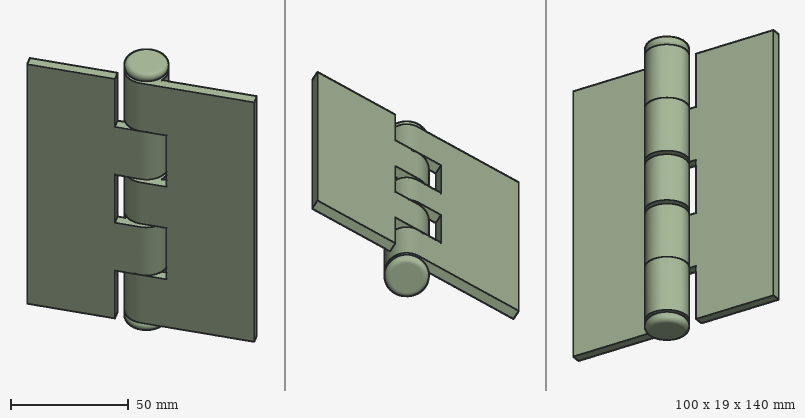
import cadquery as cq

overall_height = 140.0
overall_width = 100.0
leaf_thickness = 4.5
clearance = 1.8

barrel_radius = 9.5
pin_radius = barrel_radius - leaf_thickness
head_height = 5.0
head_edge_radius = head_height / 2
head_flat_radius = barrel_radius - head_edge_radius

knuckle_count = 5
leaf_height = overall_height - 2 * head_height
leaf_bottom = -leaf_height / 2
knuckle_pitch = leaf_height / knuckle_count
notch_reach = barrel_radius + clearance


def knuckle_span(station):
    """Bottom and top of a knuckle; the middle one is shortened for clearance."""
    bottom = leaf_bottom + station * knuckle_pitch
    top = bottom + knuckle_pitch
    if station == knuckle_count // 2:
        return bottom + clearance, top - clearance
    return bottom, top


def leaf_block(inner_x, outer_x, bottom, top):
    """Flat plate whose front face is tangent to the barrel."""
    return cq.Workplane("XY").box(
        outer_x - inner_x, leaf_thickness, top - bottom, centered=False
    ).translate((inner_x, -barrel_radius, bottom))


def cylinder(radius, bottom, top):
    return cq.Workplane("XY").workplane(offset=bottom).circle(radius).extrude(top - bottom)


def right_leaf(stations):
    """Plate on the +X side with knuckles at the given stations."""
    leaf = leaf_block(notch_reach, overall_width / 2, leaf_bottom, -leaf_bottom)
    for station in stations:
        bottom, top = knuckle_span(station)
        strap = leaf_block(0, notch_reach, bottom, top)
        leaf = leaf.union(strap).union(cylinder(barrel_radius, bottom, top))
    pin_bore = cylinder(pin_radius, leaf_bottom, -leaf_bottom)
    return leaf.cut(pin_bore)


def left_leaf(stations):
    """Plate on the -X side, a mirrored leaf with the other knuckle stations."""
    return right_leaf(stations).mirror("YZ")


def headed_pin():
    """Straight pin with a round-edged head at each end, revolved about Z."""
    shank_top = leaf_height / 2
    head_top = overall_height / 2
    head_middle = shank_top + head_edge_radius
    return (
        cq.Workplane("XZ")
        .moveTo(0, -head_top)
        .lineTo(head_flat_radius, -head_top)
        .threePointArc((barrel_radius, -head_middle), (head_flat_radius, -shank_top))
        .lineTo(pin_radius, -shank_top)
        .lineTo(pin_radius, shank_top)
        .lineTo(head_flat_radius, shank_top)
        .threePointArc((barrel_radius, head_middle), (head_flat_radius, head_top))
        .lineTo(0, head_top)
        .close()
        .revolve(360, (0, 0, 0), (0, 1, 0))
    )


outer_leaf = right_leaf(range(0, knuckle_count, 2))
inner_leaf = left_leaf(range(1, knuckle_count, 2))
pin = headed_pin()

result = cq.Compound.makeCompound([outer_leaf.solids().val(), inner_leaf.solids().val(), pin.val()])